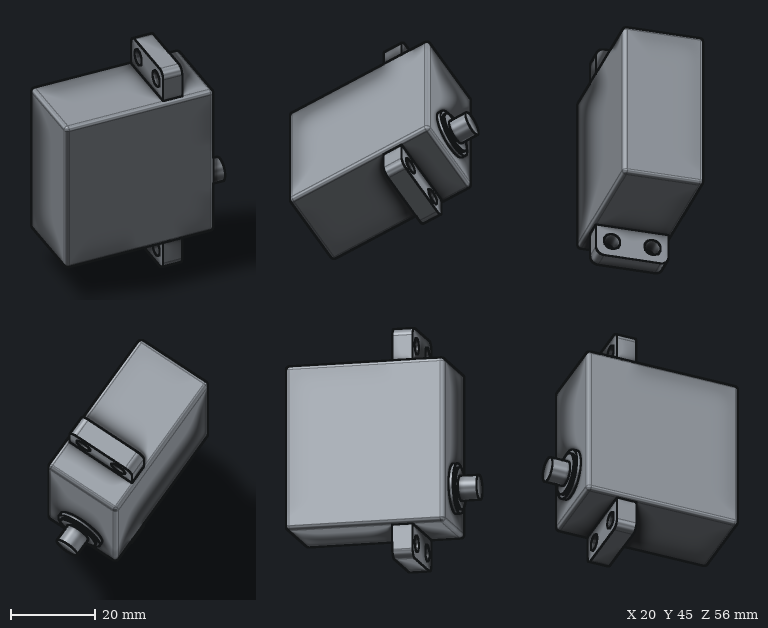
import cadquery as cq

case_width = 20.0
case_depth = 39.0
case_height = 40.0
edge_radius = 1.0

flange_width = case_width - 2 * edge_radius
flange_height = 56.0
flange_thickness = 5.0
flange_setback = 8.0
flange_corner_radius = 2.0
hole_diameter = 4.0
hole_spacing_x = 10.0
hole_spacing_z = 48.0

shaft_diameter = 6.0
shaft_overhang = 6.05
shaft_height = 10.0
collar_diameter = 12.0
collar_thickness = 1.0
step_diameter = 10.0
step_thickness = 0.5


def make_case():
    """Rectangular case with every edge rounded."""
    block = cq.Workplane("XY").box(case_width, case_depth, case_height)
    return block.translate((0, case_depth / 2, 0)).edges().fillet(edge_radius)


def make_flange():
    """Plate with rounded corners and two screw holes in each tab."""
    plate = (
        cq.Workplane("XY")
        .box(flange_width, flange_thickness, flange_height)
        .edges("|Y")
        .fillet(flange_corner_radius)
        .faces("<Y")
        .workplane(centerOption="CenterOfBoundBox")
        .rarray(hole_spacing_x, hole_spacing_z, 2, 2)
        .hole(hole_diameter)
    )
    return plate.translate((0, case_depth - flange_setback - flange_thickness / 2, 0))


def make_output_disc(diameter, length):
    """Cylinder on the shaft axis, rising from the output face towards +Y."""
    base = cq.Vector(0, case_depth, shaft_height - case_height / 2)
    return cq.Workplane(cq.Solid.makeCylinder(diameter / 2, length, base, cq.Vector(0, 1, 0)))


result = make_case().union(make_flange())
output_steps = [
    (collar_diameter, collar_thickness),
    (step_diameter, collar_thickness + step_thickness),
    (shaft_diameter, shaft_overhang),
]
for diameter, length in output_steps:
    result = result.union(make_output_disc(diameter, length))